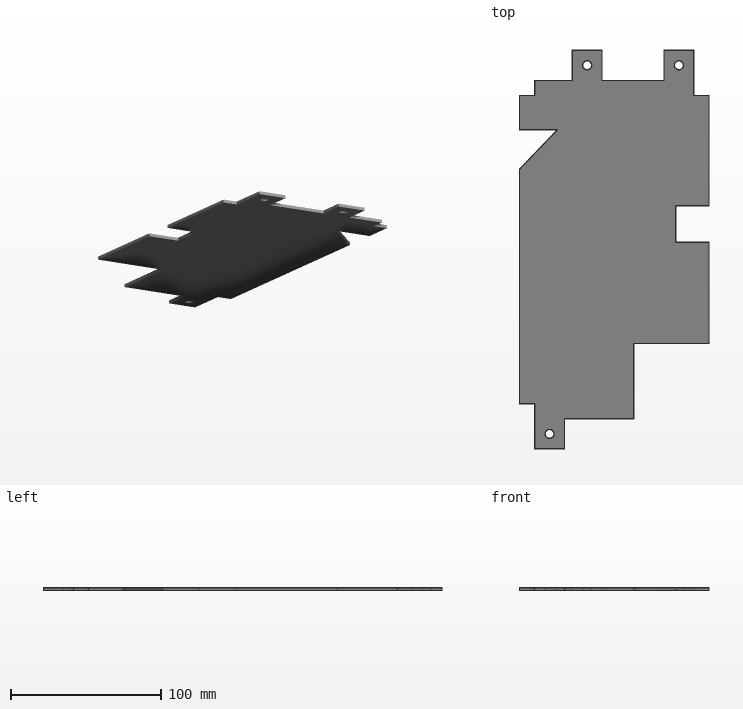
import cadquery as cq

width = 126.0
length = 265.0
thickness = 2.0

tab_width = 20.0
tab_length = 20.0
hole_diameter = 5.8
corner_step = 10.0
top_left_tab_x = 35.0
bottom_tab_x = corner_step
top_right_tab_x = width - corner_step - tab_width

body_bottom = tab_length
body_top = length - tab_length
shoulder_top = body_top - corner_step
shoulder_bottom = body_bottom + corner_step

notch_depth = 25.0
notch_top = 212.0
notch_bottom = 186.0

slot_depth = 22.0
slot_width = 24.0
slot_bottom = 137.5

cutout_width = 50.0
cutout_top = 70.0


def make_body():
    """Flat plate with its main stepped outline, without tabs or notches."""
    outline = [
        (0, shoulder_bottom),
        (corner_step, shoulder_bottom),
        (corner_step, body_bottom),
        (width - cutout_width, body_bottom),
        (width - cutout_width, cutout_top),
        (width, cutout_top),
        (width, shoulder_top),
        (width - corner_step, shoulder_top),
        (width - corner_step, body_top),
        (corner_step, body_top),
        (corner_step, shoulder_top),
        (0, shoulder_top),
    ]
    return cq.Workplane("XY").polyline(outline).close().extrude(thickness)


def cut_left_notch(plate):
    """Triangular notch with a square upper edge and a slanted lower edge."""
    corners = [(0, notch_top), (notch_depth, notch_top), (0, notch_bottom)]
    notch = cq.Workplane("XY").polyline(corners).close().extrude(thickness)
    return plate.cut(notch)


def cut_right_slot(plate):
    """Rectangular slot open to the right side."""
    slot = (
        cq.Workplane("XY")
        .box(slot_depth, slot_width, thickness, centered=False)
        .translate((width - slot_depth, slot_bottom, 0))
    )
    return plate.cut(slot)


def add_tab(plate, left, bottom):
    """Square tab with a through hole in its centre."""
    tab = (
        cq.Workplane("XY")
        .box(tab_width, tab_length, thickness, centered=False)
        .faces(">Z")
        .workplane(centerOption="CenterOfBoundBox")
        .hole(hole_diameter)
        .translate((left, bottom, 0))
    )
    return plate.union(tab)


result = make_body()
result = cut_left_notch(result)
result = cut_right_slot(result)
tab_corners = [
    (top_left_tab_x, body_top),
    (top_right_tab_x, body_top),
    (bottom_tab_x, 0),
]
for tab_left, tab_bottom in tab_corners:
    result = add_tab(result, tab_left, tab_bottom)
result = result.clean()